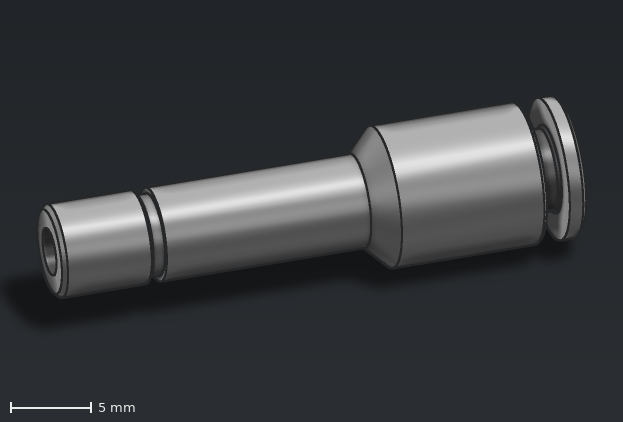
import cadquery as cq

LENGTH = 33.6
BODY_DIAMETER = 9.0
STEM_DIAMETER = 5.95
NECK_DIAMETER = 5.2
BORE_DIAMETER = 3.0

GROOVE_START = 5.75
GROOVE_END = 6.72
CONE_START = 20.0
BODY_END = 31.0
COLLAR_START = 32.42

TIP_CHAMFER = 0.3
BODY_CHAMFER = 0.25
COLLAR_CHAMFER = 0.3

GROOVE_TAPER_LENGTH = 0.25
BODY_FACE_TAPER_LENGTH = 0.25
COLLAR_ROOT_CHAMFER = 0.2

body_radius = BODY_DIAMETER / 2
stem_radius = STEM_DIAMETER / 2
neck_radius = NECK_DIAMETER / 2
cone_end = CONE_START + body_radius - stem_radius


def turned_body():
    """Revolve the stepped half profile, given as (radius, Y) points."""
    profile = [
        (0, 0),
        (stem_radius - TIP_CHAMFER, 0),
        (stem_radius, TIP_CHAMFER),
        (stem_radius, GROOVE_START),
        (neck_radius, GROOVE_START + GROOVE_TAPER_LENGTH),
        (neck_radius, GROOVE_END),
        (stem_radius, GROOVE_END),
        (stem_radius, CONE_START),
        (body_radius, cone_end),
        (body_radius, BODY_END - BODY_CHAMFER),
        (body_radius - BODY_CHAMFER, BODY_END),
        (neck_radius, BODY_END + BODY_FACE_TAPER_LENGTH),
        (neck_radius, COLLAR_START - COLLAR_ROOT_CHAMFER),
        (neck_radius + COLLAR_ROOT_CHAMFER, COLLAR_START),
        (body_radius, COLLAR_START),
        (body_radius, LENGTH - COLLAR_CHAMFER),
        (body_radius - COLLAR_CHAMFER, LENGTH),
        (0, LENGTH),
    ]
    return cq.Workplane("XY").polyline(profile).close().revolve(360, (0, 0, 0), (0, 1, 0))


def through_bore():
    """Cylinder along the whole Y axis."""
    return cq.Workplane("XZ").circle(BORE_DIAMETER / 2).extrude(-LENGTH)


result = turned_body().cut(through_bore())